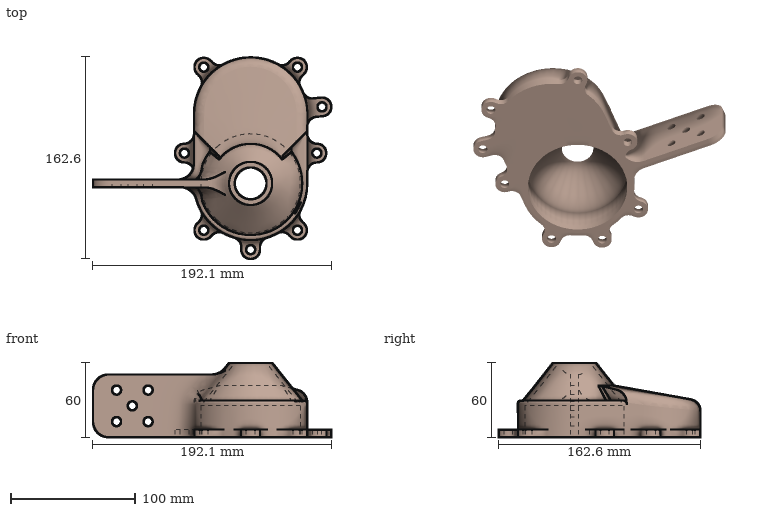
import cadquery as cq
import math

BODY_RADIUS = 45.72
END_SPACING = 55.88
LEDGE_HEIGHT = 29.6
LEDGE_ROUND = 2.54

HUB_HEIGHT = 60.0
HUB_TOP_RADIUS = 17.4
HUB_BASE_RADIUS = 41.6
HUB_SLOPE = (HUB_BASE_RADIUS - HUB_TOP_RADIUS) / (HUB_HEIGHT - LEDGE_HEIGHT)
BORE_RADIUS = 12.7
CAVITY_RADIUS = 40.0

ROOF_APEX_HEIGHT = 47.5
ROOF_SLOPE = 0.179
ROOF_ROUND = 9.525
V_APEX_Y = -3.6
V_START_Y = 18.0
V_TIP_BASE_X = 32.9
V_TIP_TOP_X = 14.3

LUG_RADIUS = 7.62
LUG_THICKNESS = 6.35
LUG_HOLE_DIAMETER = 7.14
LUG_REACH = 53.34
LUG_BLEND = 7.6
SIDE_LUG_Y = 24.4
LONG_LUG_REACH = 57.75
LONG_LUG_ANGLE = 5.7

PLATE_END_X = -127.0
PLATE_HEIGHT = 50.8
PLATE_THICKNESS = 6.35
PLATE_CORNER = 12.7
PLATE_BLEND = 12.7
PLATE_HOLE_DIAMETER = 7.14
PLATE_HOLES_X = -95.25
PLATE_HOLE_OFFSET = 12.7

SPAN = 4 * abs(PLATE_END_X)
TOLERANCE = 0.01

LUGS = [
    (0, -135, LUG_REACH),
    (0, -90, LUG_REACH),
    (0, -45, LUG_REACH),
    (SIDE_LUG_Y, 0, LUG_REACH),
    (SIDE_LUG_Y, 180, LUG_REACH),
    (END_SPACING, LONG_LUG_ANGLE, LONG_LUG_REACH),
    (END_SPACING, 45, LUG_REACH),
    (END_SPACING, 135, LUG_REACH),
]


def body_block(height):
    """Straight-walled block with the body's outline."""
    return (
        cq.Workplane("XY")
        .moveTo(BODY_RADIUS, 0)
        .lineTo(BODY_RADIUS, END_SPACING)
        .threePointArc((0, END_SPACING + BODY_RADIUS), (-BODY_RADIUS, END_SPACING))
        .lineTo(-BODY_RADIUS, 0)
        .threePointArc((0, -BODY_RADIUS), (BODY_RADIUS, 0))
        .close()
        .extrude(height)
    )


def hub_cone(top_radius, bottom_z):
    """Cone about Z with the hub's slope, from bottom_z up to the top of the hub."""
    bottom_radius = top_radius + HUB_SLOPE * (HUB_HEIGHT - bottom_z)
    return (
        cq.Workplane("XZ")
        .polyline([(0, bottom_z), (bottom_radius, bottom_z), (top_radius, HUB_HEIGHT), (0, HUB_HEIGHT)])
        .close()
        .revolve(360, (0, 0), (0, 1))
    )


def slab(bottom_z):
    """Everything above bottom_z, wide enough to hold the whole part."""
    return cq.Workplane("XY").workplane(offset=bottom_z).rect(SPAN, SPAN).extrude(HUB_HEIGHT)


def side_plate(bottom_z):
    """The part of the side plate above bottom_z, running from its free end to the hub axis."""
    plate = (
        cq.Workplane("XZ")
        .rect(PLATE_END_X, PLATE_HEIGHT, centered=False)
        .extrude(PLATE_THICKNESS / 2, both=True)
        .edges("<X and |Y")
        .fillet(PLATE_CORNER)
    )
    return plate.intersect(slab(bottom_z))


def lies_on_plate_side(edge):
    box = edge.BoundingBox()
    return box.ylen < TOLERANCE and abs(abs(box.ymin) - PLATE_THICKNESS / 2) < TOLERANCE


def ledge_with_plate():
    """Lower body with its rounded rim, blended into both sides of the plate."""
    low = body_block(LEDGE_HEIGHT).faces(">Z").edges().fillet(LEDGE_ROUND)
    joined = low.union(side_plate(0))

    def is_joint(edge):
        box = edge.BoundingBox()
        on_body = box.xmin > -BODY_RADIUS - TOLERANCE and box.zmax < LEDGE_HEIGHT + TOLERANCE
        return on_body and lies_on_plate_side(edge)

    joints = [edge for edge in joined.edges().vals() if is_joint(edge)]
    return joined.newObject(joints).fillet(PLATE_BLEND)


def hub_with_plate():
    """Hub blended into the sides and the top of the plate, cut off level with the ledge.

    The +Y half mirrors the -Y half, so both blends end in the same corner.
    """
    root_z = LEDGE_HEIGHT - PLATE_BLEND
    joined = hub_cone(HUB_TOP_RADIUS, root_z).union(side_plate(root_z))

    def is_joint(edge):
        box = edge.BoundingBox()
        on_plate_top = box.zlen < TOLERANCE and abs(box.zmin - PLATE_HEIGHT) < TOLERANCE
        if edge.geomType() == "CIRCLE":
            return on_plate_top
        return edge.geomType() == "HYPERBOLA" and lies_on_plate_side(edge)

    joints = [edge for edge in joined.edges().vals() if is_joint(edge)]
    blended = joined.newObject(joints).fillet(PLATE_BLEND).intersect(slab(LEDGE_HEIGHT))
    front_space = cq.Workplane("XZ").rect(SPAN, SPAN).extrude(SPAN)
    front_half = blended.intersect(front_space)
    return front_half.union(front_half.mirror("XZ"))


def roof_region():
    """Space the roof fills: beyond the 45 degree V, widened above the ledge by leaning tips."""
    far_y = END_SPACING + 2 * BODY_RADIUS
    start_x = V_START_Y - V_APEX_Y
    far_x = far_y - V_APEX_Y
    wedge = (
        cq.Workplane("XY")
        .polyline([(-start_x, V_START_Y), (start_x, V_START_Y), (far_x, far_y), (-far_x, far_y)])
        .close()
        .extrude(HUB_HEIGHT)
    )
    tips = (
        cq.Workplane("XZ", origin=(0, V_START_Y, 0))
        .polyline(
            [
                (-V_TIP_BASE_X, LEDGE_HEIGHT),
                (V_TIP_BASE_X, LEDGE_HEIGHT),
                (V_TIP_TOP_X, HUB_HEIGHT),
                (-V_TIP_TOP_X, HUB_HEIGHT),
            ]
        )
        .close()
        .extrude(V_START_Y - END_SPACING)
    )
    return wedge.union(tips)


def roof(region):
    """Body block under the shallow cone, with a large round along its rim."""
    far_r = END_SPACING + 2 * BODY_RADIUS
    far_z = ROOF_APEX_HEIGHT - ROOF_SLOPE * far_r
    under_cone = (
        cq.Workplane("XZ")
        .polyline([(0, 0), (far_r, 0), (far_r, far_z), (0, ROOF_APEX_HEIGHT)])
        .close()
        .revolve(360, (0, 0), (0, 1))
    )
    block = body_block(HUB_HEIGHT).intersect(under_cone)
    rim = [edge for edge in block.faces(">Z").edges().vals() if edge.geomType() != "LINE"]
    return block.newObject(rim).fillet(ROOF_ROUND).intersect(region)


def lug(center_y, angle, reach):
    """One lug with its root blended into the body wall."""
    tip = cq.Workplane("XY").center(reach, 0).circle(LUG_RADIUS).extrude(LUG_THICKNESS)
    arm = cq.Workplane("XY").center(reach / 2, 0).rect(reach, 2 * LUG_RADIUS).extrude(LUG_THICKNESS)
    placed = arm.union(tip).rotate((0, 0, 0), (0, 0, 1), angle).translate((0, center_y, 0))
    joined = body_block(LUG_THICKNESS).union(placed)

    def is_root(edge):
        point = edge.Center()
        nearest_y = min(max(point.y, 0), END_SPACING)
        on_wall = abs(math.hypot(point.x, point.y - nearest_y) - BODY_RADIUS) < TOLERANCE
        is_body_seam = min(abs(point.y), abs(point.y - END_SPACING)) < TOLERANCE
        return on_wall and not is_body_seam

    roots = [edge for edge in joined.edges("|Z").vals() if is_root(edge)]
    return joined.newObject(roots).fillet(LUG_BLEND)


def lug_holes():
    centers = []
    for center_y, angle, reach in LUGS:
        direction = math.radians(angle)
        centers.append((reach * math.cos(direction), center_y + reach * math.sin(direction)))
    return cq.Workplane("XY").pushPoints(centers).circle(LUG_HOLE_DIAMETER / 2).extrude(LUG_THICKNESS)


def plate_holes():
    """Four holes at the corners of a square and one at its centre."""
    centers = [(0, 0)]
    for side in (-PLATE_HOLE_OFFSET, PLATE_HOLE_OFFSET):
        centers.append((side, -PLATE_HOLE_OFFSET))
        centers.append((side, PLATE_HOLE_OFFSET))
    return (
        cq.Workplane("XZ")
        .center(PLATE_HOLES_X, PLATE_HEIGHT / 2)
        .pushPoints(centers)
        .circle(PLATE_HOLE_DIAMETER / 2)
        .extrude(PLATE_THICKNESS, both=True)
    )


def cavity():
    """Round hollow below the hub, open at the bottom, with a conical throat up to the bore mouth."""
    throat_z = HUB_HEIGHT - (CAVITY_RADIUS - BORE_RADIUS) / HUB_SLOPE
    chamber = cq.Workplane("XY").circle(CAVITY_RADIUS).extrude(throat_z)
    return chamber.union(hub_cone(BORE_RADIUS, throat_z))


region = roof_region()
result = ledge_with_plate().cut(region).union(hub_with_plate()).union(roof(region))
for lug_place in LUGS:
    result = result.union(lug(*lug_place))
result = result.cut(cavity()).cut(lug_holes()).cut(plate_holes())